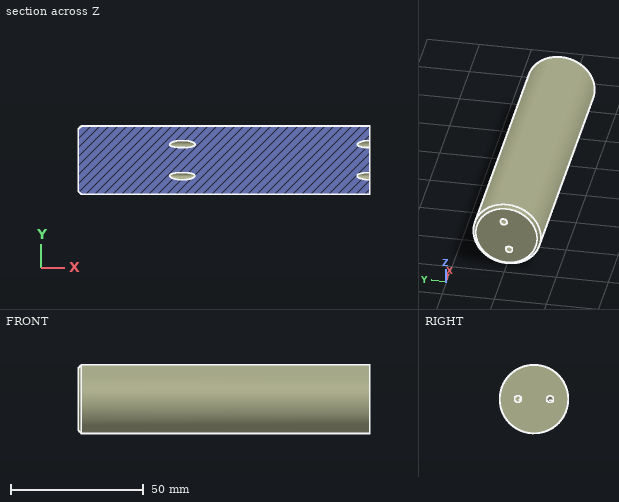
import cadquery as cq
import math

length = 110.0
diameter = 26.0
chamfer = 1.2

hole_diameter = 2.5
hole_circle_diameter = 12.1
hole_tilt = 10.0
helix_pitch = 141.5

left_end = -length / 2
twist_angle = 360 * length / helix_pitch


def end_plane():
    """Workplane on the chamfered end, with its normal along +X."""
    return cq.Workplane("YZ", origin=(left_end, 0, 0))


def make_rod():
    rod = end_plane().circle(diameter / 2).extrude(length)
    return rod.faces("<X").chamfer(chamfer)


def make_channel(angle):
    """Helical channel running the full length, starting at an angle from +Z toward +Y."""
    radius = hole_circle_diameter / 2
    start_y = radius * math.sin(math.radians(angle))
    start_z = radius * math.cos(math.radians(angle))
    return (
        end_plane()
        .pushPoints([(start_y, start_z)])
        .circle(hole_diameter / 2)
        .twistExtrude(length, twist_angle)
    )


result = make_rod()
for start_angle in (hole_tilt, hole_tilt + 180):
    result = result.cut(make_channel(start_angle))